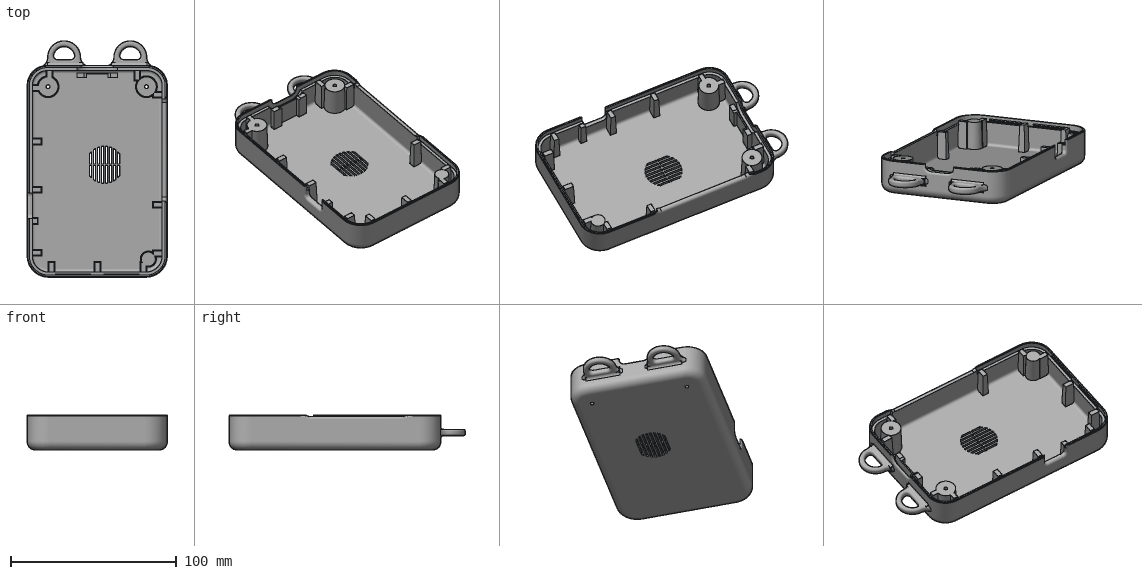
import cadquery as cq
import math

LENGTH = 142.6
WIDTH = 84.5
HEIGHT = 21.1
LOOP_REACH = 14.8
BODY_LENGTH = LENGTH - LOOP_REACH
FRONT_CORNER = 13.0
BACK_CORNER = 12.1
BOTTOM_FILLET = 5.0
WALL = 3.1
RIM_CHAMFER = 0.4

SIDE = WIDTH / 2
BACK = BODY_LENGTH / 2
FRONT = -BACK
INNER_SIDE = SIDE - WALL
INNER_BACK = BACK - WALL

LIP = 1.3
LEDGE_Z = 17.7
OPENING_ROUND = 1.7
STOCK_TOP = HEIGHT + 1.4

SUPPORT_TOP = 19.8
DRAFT = 2.0
RIB = 4.1
SIDE_RIB_REACH = 5.8
END_RIB_REACH = 6.3
EMBED = 1.1
SUPPORT_BASE = WALL - EMBED / 2


def rounded_block(inset, bottom, top):
    """Body outline moved inwards by inset, between two heights."""
    return (
        cq.Workplane("XY", origin=(0, 0, bottom))
        .rect(WIDTH - 2 * inset, BODY_LENGTH - 2 * inset)
        .extrude(top - bottom)
        .edges("|Z and <Y")
        .fillet(FRONT_CORNER - inset)
        .edges("|Z and >Y")
        .fillet(BACK_CORNER - inset)
    )


def block(x_min, x_max, y_min, y_max, z_min, z_max):
    return (
        cq.Workplane("XY")
        .box(x_max - x_min, y_max - y_min, z_max - z_min, centered=False)
        .translate((x_min, y_min, z_min))
    )


SADDLE_FRONT = -17.8
SADDLE_BACK = 43.8
SADDLE_RAMP = 2.3
SADDLE_Z = 20.2


def make_shell():
    outer = rounded_block(0, 0, HEIGHT).faces("<Z").edges().fillet(BOTTOM_FILLET)
    outer = outer.faces(">Z").edges().chamfer(RIM_CHAMFER)
    cavity = rounded_block(WALL, WALL, HEIGHT).faces("<Z").edges().fillet(BOTTOM_FILLET - WALL)
    lip_space = rounded_block(LIP, LEDGE_Z, HEIGHT)
    lip_space = lip_space.cut(
        block(INNER_SIDE, SIDE, SADDLE_FRONT, SADDLE_BACK, LEDGE_Z, HEIGHT)
    )
    return outer.cut(cavity).cut(lip_space)


WINDOW_Y = -20.7
WINDOW_WIDTH = 15.4
WINDOW_Z = 12.4
WINDOW_CORNER = 2.3

NOTCH_WIDTH = 18.8
NOTCH_Z = 16.5
NOTCH_CORNER = 4.0
NOTCH_DEPTH = WALL + 4.3


def opening_bounds(opening):
    """Corners of a box around the opening, ending below the top of the stock."""
    margin = 0.1
    box = opening.val().BoundingBox()
    low = (box.xmin - margin, box.ymin - margin, box.zmin - margin)
    high = (box.xmax + margin, box.ymax + margin, box.zmax - margin)
    return low, high


def flared(opening, stock, outer_face):
    """Opening whose edge on the outer wall face is rounded, as a solid to remove."""
    remaining = stock.cut(opening)
    flare_edges = remaining.faces(outer_face).edges(
        cq.selectors.BoxSelector(*opening_bounds(opening))
    )
    return stock.cut(flare_edges.fillet(OPENING_ROUND))


def slot_outline(origin, plane, width, bottom, corner):
    """Open-topped slot outline with rounded lower corners."""
    half = width / 2
    return (
        cq.Workplane(plane, origin=origin)
        .moveTo(-half, STOCK_TOP)
        .lineTo(-half, bottom + corner)
        .radiusArc((-half + corner, bottom), -corner)
        .lineTo(half - corner, bottom)
        .radiusArc((half, bottom + corner), -corner)
        .lineTo(half, STOCK_TOP)
        .close()
    )


def make_saddle():
    """Cut that lowers the ledgeless stretch of the right wall."""
    slope = SADDLE_RAMP / (HEIGHT - SADDLE_Z)
    overshoot = slope * (STOCK_TOP - HEIGHT)
    opening = (
        cq.Workplane("YZ", origin=(INNER_SIDE, 0, 0))
        .moveTo(SADDLE_FRONT - overshoot, STOCK_TOP)
        .lineTo(SADDLE_FRONT + SADDLE_RAMP, SADDLE_Z)
        .lineTo(SADDLE_BACK - SADDLE_RAMP, SADDLE_Z)
        .lineTo(SADDLE_BACK + overshoot, STOCK_TOP)
        .close()
        .extrude(WALL)
    )
    stock = block(INNER_SIDE, SIDE, FRONT, BACK, WALL, STOCK_TOP)
    return flared(opening, stock, ">X")


def make_window():
    opening = slot_outline(
        (-SIDE, WINDOW_Y, 0), "YZ", WINDOW_WIDTH, WINDOW_Z, WINDOW_CORNER
    ).extrude(WALL)
    stock = block(-SIDE, -INNER_SIDE, FRONT, BACK, WALL, STOCK_TOP)
    return flared(opening, stock, "<X")


def make_notch():
    opening = slot_outline(
        (0, BACK, 0), "XZ", NOTCH_WIDTH, NOTCH_Z, NOTCH_CORNER
    ).extrude(NOTCH_DEPTH)
    stock = block(-SIDE, SIDE, BACK - NOTCH_DEPTH, BACK, WALL, STOCK_TOP)
    return flared(opening, stock, ">Y")


def make_notch_recess():
    """Dip of the ledge behind the notch, keeping the lip its full height there."""
    lip_height = HEIGHT - LEDGE_Z
    return slot_outline(
        (0, BACK - LIP, 0),
        "XZ",
        NOTCH_WIDTH + 2 * lip_height,
        NOTCH_Z - lip_height,
        NOTCH_CORNER + lip_height,
    ).extrude(WALL - LIP)


LEFT_RIBS = (50.2, 18.0, -11.1, -49.0)
RIGHT_RIBS = (46.2, -20.1, -49.5)
FRONT_RIBS = (-27.5, 0.1, 28.0)
BACK_RIBS = (-28.8, 24.1)
STOP_RIB_Y = -30.0
STOP_RIB_REACH = 3.5
STOP_RIB_TOP = 18.3


def tapered(x_min, x_max, y_min, y_max, top):
    """Upright block from the floor, narrowing upwards."""
    return (
        cq.Workplane("XY", origin=((x_min + x_max) / 2, (y_min + y_max) / 2, SUPPORT_BASE))
        .rect(x_max - x_min, y_max - y_min)
        .extrude(top - SUPPORT_BASE, taper=DRAFT)
    )


def side_rib(sign, y, reach=SIDE_RIB_REACH, top=SUPPORT_TOP):
    tip = sign * (INNER_SIDE - reach)
    root = sign * (INNER_SIDE + EMBED)
    return tapered(min(tip, root), max(tip, root), y - RIB / 2, y + RIB / 2, top)


def end_rib(sign, x):
    tip = sign * (INNER_BACK - END_RIB_REACH)
    root = sign * (INNER_BACK + EMBED)
    return tapered(x - RIB / 2, x + RIB / 2, min(tip, root), max(tip, root), SUPPORT_TOP)


def make_ribs():
    ribs = [side_rib(-1, y) for y in LEFT_RIBS]
    ribs += [side_rib(1, y) for y in RIGHT_RIBS]
    ribs += [end_rib(-1, x) for x in FRONT_RIBS]
    ribs += [end_rib(1, x) for x in BACK_RIBS]
    ribs.append(side_rib(-1, STOP_RIB_Y, STOP_RIB_REACH, STOP_RIB_TOP))
    return ribs


NOTCH_RIB_X = 9.4
NOTCH_RIB_WIDTH = 5.8
NOTCH_RIB_LENGTH = 3.0
NOTCH_RIB_TOP = 17.4
NOTCH_PLATE = 0.9
NOTCH_GAP = 1.3


def make_notch_guard():
    """Thin plate with two end ribs, standing free just inside the cable notch."""
    back = INNER_BACK - NOTCH_GAP
    half = NOTCH_RIB_X + NOTCH_RIB_WIDTH / 2
    guard = block(-half, half, back - NOTCH_PLATE, back, SUPPORT_BASE, NOTCH_RIB_TOP)
    for x in (-half, half - NOTCH_RIB_WIDTH):
        guard = guard.union(
            block(x, x + NOTCH_RIB_WIDTH, back - NOTCH_RIB_LENGTH, back, SUPPORT_BASE, NOTCH_RIB_TOP)
        )
    return guard


BOSS_X = 29.7
BOSS_Y = 51.0
BOSS_RADIUS = 6.5
SCREW_HOLE = 2.1
POST_X = 30.8
POST_Y = -52.9
POST_RADIUS = 4.8


def boss(x, y, radius):
    return (
        cq.Workplane("XY", origin=(x, y, SUPPORT_BASE))
        .circle(radius)
        .extrude(SUPPORT_TOP - SUPPORT_BASE, taper=DRAFT)
    )


GRILLE_X = 4.4
GRILLE_Y = 4.0
GRILLE_RADIUS = 11.1
SLOT_COUNT = 8
SLOT_PITCH = 2.4
SLOT_WIDTH = 1.1
GRILLE_BAR = 1.0


def make_grille():
    """Round field of slots through the floor, split by a bar across the middle."""
    slots = (
        cq.Workplane("XY", origin=(GRILLE_X, GRILLE_Y, -1.4))
        .rarray(SLOT_PITCH, 1.4, SLOT_COUNT, 1)
        .rect(SLOT_WIDTH, 2 * GRILLE_RADIUS)
        .extrude(WALL + 2.9)
    )
    disc = cq.Workplane("XY", origin=(GRILLE_X, GRILLE_Y, -1.4)).circle(GRILLE_RADIUS).extrude(WALL + 2.9)
    bar = block(
        GRILLE_X - GRILLE_RADIUS, GRILLE_X + GRILLE_RADIUS,
        GRILLE_Y - GRILLE_BAR / 2, GRILLE_Y + GRILLE_BAR / 2,
        -1.4, WALL + 1.4,
    )
    return slots.intersect(disc).cut(bar)


LOOP_X = 20.0
LOOP_RADIUS = 10.0
LOOP_HOLE_RADIUS = 6.4
LOOP_THICKNESS = 4.0
LOOP_ROUND = 1.4
LOOP_Y = BACK + LOOP_REACH - LOOP_RADIUS
LOOP_SILL_Y = BACK + 3.5
LOOP_SILL_ROUND = 2.1
FLARE_INNER = 5.4
FLARE_OUTER = 6.3
FLARE_SWEEP = math.radians(70)
ROOT_LENGTH = 1.7
ROOT_FLARE = 1.1


def make_loop():
    """Loop on the right; flares towards the body centre and the body corner."""
    bottom = BACK - 0.8 * WALL
    mid_z = HEIGHT / 2
    left = LOOP_X - LOOP_RADIUS
    right = LOOP_X + LOOP_RADIUS
    flare_x = right + FLARE_OUTER * (1 - math.cos(FLARE_SWEEP))
    flare_y = LOOP_Y - FLARE_OUTER * math.sin(FLARE_SWEEP)
    plate = (
        cq.Workplane("XY", origin=(0, 0, mid_z - LOOP_THICKNESS / 2))
        .moveTo(left, LOOP_Y)
        .threePointArc((LOOP_X, LOOP_Y + LOOP_RADIUS), (right, LOOP_Y))
        .radiusArc((flare_x, flare_y), -FLARE_OUTER)
        .lineTo(flare_x - EMBED, bottom)
        .lineTo(left - FLARE_INNER, bottom)
        .lineTo(left - FLARE_INNER, LOOP_Y - FLARE_INNER)
        .radiusArc((left, LOOP_Y), -FLARE_INNER)
        .close()
        .extrude(LOOP_THICKNESS)
    )
    eye = (
        cq.Workplane("XY", origin=(LOOP_X, LOOP_Y, 0))
        .circle(LOOP_HOLE_RADIUS)
        .extrude(HEIGHT)
        .intersect(block(left, right, LOOP_SILL_Y, BACK + LOOP_REACH, 0, HEIGHT))
        .edges("|Z")
        .fillet(LOOP_SILL_ROUND)
    )
    free_edges = cq.selectors.BoxSelector(
        (left - FLARE_INNER, BACK - 0.4, 0), (flare_x, BACK + LOOP_REACH + 1.4, HEIGHT)
    )
    plate = plate.cut(eye).faces("<Z or >Z").edges(free_edges).fillet(LOOP_ROUND)
    half = LOOP_THICKNESS / 2
    root = (
        cq.Workplane("YZ", origin=(left - 1.4, 0, mid_z))
        .moveTo(bottom, half + ROOT_FLARE)
        .lineTo(BACK, half + ROOT_FLARE)
        .threePointArc((BACK + ROOT_LENGTH / 3, half + ROOT_FLARE / 3), (BACK + ROOT_LENGTH, half))
        .lineTo(BACK + ROOT_LENGTH, -half)
        .threePointArc((BACK + ROOT_LENGTH / 3, -half - ROOT_FLARE / 3), (BACK, -half - ROOT_FLARE))
        .lineTo(bottom, -half - ROOT_FLARE)
        .close()
        .extrude(2 * LOOP_RADIUS + 1.4)
    )
    return plate.union(root)


SNAP_X = 14.5
SNAP_LENGTH = 21.1
SNAP_Z = 18.8
SNAP_DEPTH = 0.5


def snap_ridge(x):
    root = FRONT + LIP
    return (
        cq.Workplane("YZ", origin=(x - SNAP_LENGTH / 2, 0, SNAP_Z))
        .polyline([(root, -SNAP_DEPTH), (root + SNAP_DEPTH, 0), (root, SNAP_DEPTH)])
        .close()
        .extrude(SNAP_LENGTH)
    )


case = make_shell().cut(make_saddle()).cut(make_window()).cut(make_notch_recess())

supports = boss(-BOSS_X, BOSS_Y, BOSS_RADIUS).union(boss(BOSS_X, BOSS_Y, BOSS_RADIUS))
supports = supports.union(boss(POST_X, POST_Y, POST_RADIUS)).union(make_notch_guard())
for rib in make_ribs():
    supports = supports.union(rib)
case = case.union(supports.intersect(rounded_block(WALL, 0, HEIGHT)))

case = case.cut(make_notch())
screw_holes = (
    cq.Workplane("XY")
    .pushPoints([(-BOSS_X, BOSS_Y), (BOSS_X, BOSS_Y)])
    .circle(SCREW_HOLE / 2)
    .extrude(HEIGHT)
)
case = case.cut(screw_holes).cut(make_grille())

loop = make_loop()
case = case.union(loop).union(loop.mirror("YZ"))
for sign in (-1, 1):
    case = case.union(snap_ridge(sign * SNAP_X))

result = case